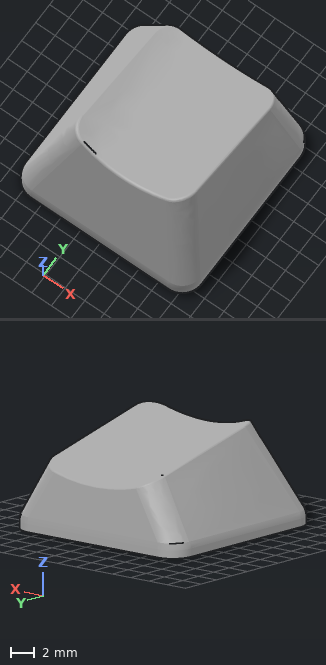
import math
import cadquery as cq

base_side = 18.16
base_corner_radius = 2.0

skirt_height = 0.73
blend_height = 0.58
blend_inset = 0.13
blend_inset_back = 0.02

crest_slope = 0.243
crest_height = 8.3
crest_half_width = 5.92
crest_front_y = -5.18
crest_back_y = 8.72
crest_corner_radius = 1.89

dish_half_width = 6.1
dish_depth_front = 1.62
dish_depth_back = 1.02
dish_overhang = 1.09
dish_cutter_top = 3.63

top_edge_radius = 0.27

tilt = math.atan(crest_slope)
crest_depth = (crest_back_y - crest_front_y) / math.cos(tilt)
crest_middle_y = (crest_back_y + crest_front_y) / 2
crest_center = cq.Vector(0, crest_middle_y, crest_height - crest_slope * crest_middle_y)
crest_location = cq.Location(crest_center, cq.Vector(1, 0, 0), -math.degrees(tilt))


def rounded_rectangle(width, depth, radius):
    return cq.Sketch().rect(width, depth).vertices().fillet(radius)


def blend_section(fraction):
    """Outline at a fraction of the blend height; the inset follows a parabola."""
    inset = blend_inset * fraction**2
    inset_back = blend_inset_back * fraction**2
    width = base_side - 2 * inset
    depth = base_side - inset - inset_back
    outline = rounded_rectangle(width, depth, base_corner_radius - inset)
    height = skirt_height + blend_height * fraction
    return outline.moved(cq.Location(cq.Vector(0, (inset - inset_back) / 2, height)))


def make_skirt():
    outline = rounded_rectangle(base_side, base_side, base_corner_radius)
    skirt = cq.Workplane().placeSketch(outline).extrude(skirt_height)
    sections = [blend_section(fraction) for fraction in (0, 0.5, 1)]
    blend = cq.Workplane().placeSketch(*sections).loft()
    return skirt.union(blend)


def make_tapered_walls():
    crest = rounded_rectangle(2 * crest_half_width, crest_depth, crest_corner_radius)
    return cq.Workplane().placeSketch(blend_section(1), crest.moved(crest_location)).loft(ruled=True)


def dish_section(distance, depth):
    """Cutter outline across the crest; its arc meets the crest plane at the dish half width."""
    radius = (dish_half_width**2 + depth**2) / (2 * depth)
    half_width = dish_half_width + dish_overhang
    arc_end_height = radius - depth - math.sqrt(radius**2 - half_width**2)
    section = (
        cq.Workplane("XZ", origin=(0, distance, 0))
        .moveTo(-half_width, arc_end_height)
        .threePointArc((0, -depth), (half_width, arc_end_height))
        .lineTo(half_width, dish_cutter_top)
        .lineTo(-half_width, dish_cutter_top)
        .close()
    )
    return section.val()


def make_dish_cutter():
    half_length = crest_depth / 2 + dish_overhang
    front = dish_section(-half_length, dish_depth_front)
    back = dish_section(half_length, dish_depth_back)
    return cq.Solid.makeLoft([front, back], True).moved(crest_location)


body = make_skirt().union(make_tapered_walls()).cut(cq.Workplane(make_dish_cutter()))

dish_floor = body.faces(cq.selectors.NearestToPointSelector(crest_center.toTuple()))
result = dish_floor.edges().fillet(top_edge_radius)